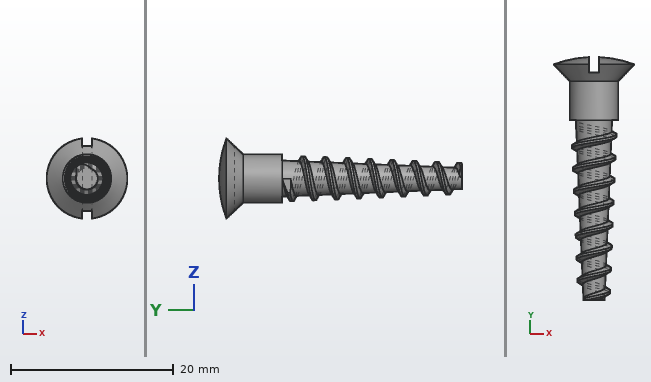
import cadquery as cq
import math

length = 30.0

head_radius = 10.0 / 2
dome_height = 0.93
head_height = 3.0
slot_width = 1.2
slot_depth = 1.92

collar_radius = 3.0
collar_end = 7.8

shank_length = length - collar_end
shank_start_radius = 2.25
shank_tip_radius = 1.32
taper_slope = (shank_start_radius - shank_tip_radius) / shank_length

thread_turns = 8
helix_height = 22.0
pitch = helix_height / thread_turns
ridge_height = 0.63
ridge_base_width = 1.02
ridge_crest_width = 0.3
ridge_sink = 0.12
thread_start = 0.55
runout_length = 0.6 * pitch


def make_body():
    """Revolve the dome, countersink, collar and tapered shank about Y."""
    rim_y = length - dome_height
    dome_radius = (head_radius**2 + dome_height**2) / (2 * dome_height)
    half_angle = math.asin(head_radius / dome_radius) / 2
    dome_middle = (
        dome_radius * math.sin(half_angle),
        length - dome_radius * (1 - math.cos(half_angle)),
    )
    return (
        cq.Workplane("XY")
        .lineTo(shank_tip_radius, 0)
        .lineTo(shank_start_radius, shank_length)
        .lineTo(collar_radius, shank_length)
        .lineTo(collar_radius, length - head_height)
        .lineTo(head_radius, rim_y)
        .threePointArc(dome_middle, (0, length))
        .close()
        .revolve(360, (0, 0), (0, 1))
    )


def make_slot():
    """Screwdriver slot running right across the head along Z."""
    return cq.Workplane("XY").box(slot_width, 2 * slot_depth, 3 * head_radius).translate((0, length, 0))


def make_thread():
    """Close four tapered helices into a ridge and trim it at the tip."""
    flank_run = (ridge_base_width - ridge_crest_width) / 2
    root_half_width = ridge_base_width / 2 + ridge_sink * flank_run / ridge_height
    crest_half_width = ridge_crest_width / 2
    taper_angle = math.degrees(math.atan(taper_slope))

    def ridge_edge(offset, height):
        start = thread_start + offset
        radius = shank_start_radius - taper_slope * start + height
        helix = cq.Wire.makeHelix(pitch, helix_height, radius, angle=-taper_angle)
        return helix.translate(cq.Vector(0, 0, start)).Edges()[0]

    edges = [
        ridge_edge(-root_half_width, -ridge_sink),
        ridge_edge(-crest_half_width, ridge_height),
        ridge_edge(crest_half_width, ridge_height),
        ridge_edge(root_half_width, -ridge_sink),
    ]
    faces = [cq.Face.makeRuledSurface(edges[i - 1], edges[i]) for i in range(len(edges))]
    for end in (0, 1):
        corners = [edge.positionAt(end) for edge in edges]
        faces.append(cq.Face.makeFromWires(cq.Wire.makePolygon(corners, close=True)))
    ridge = cq.Solid.makeSolid(cq.Shell.makeShell(faces))

    shank_plane = cq.Plane((0, shank_length, 0), xDir=(-1, 0, 0), normal=(0, -1, 0))
    envelope = cq.Workplane(shank_plane).circle(head_radius).extrude(shank_length)
    placed_ridge = cq.Workplane(ridge.fix().moved(shank_plane.location))
    return placed_ridge.intersect(envelope)


def make_runout(shank_radius, y_start, z_side):
    """Block beyond a plane tangent to the -X side of the shank, on one side of z = 0."""
    return (
        cq.Workplane("XY")
        .box(head_radius, runout_length, head_radius)
        .translate((
            -shank_radius - head_radius / 2,
            y_start + runout_length / 2,
            z_side * head_radius / 2,
        ))
    )


thread = make_thread()
thread = thread.cut(make_runout(shank_start_radius, shank_length - runout_length, -1))
thread = thread.cut(make_runout(shank_tip_radius, 0, 1))

result = make_body().cut(make_slot()).union(thread)